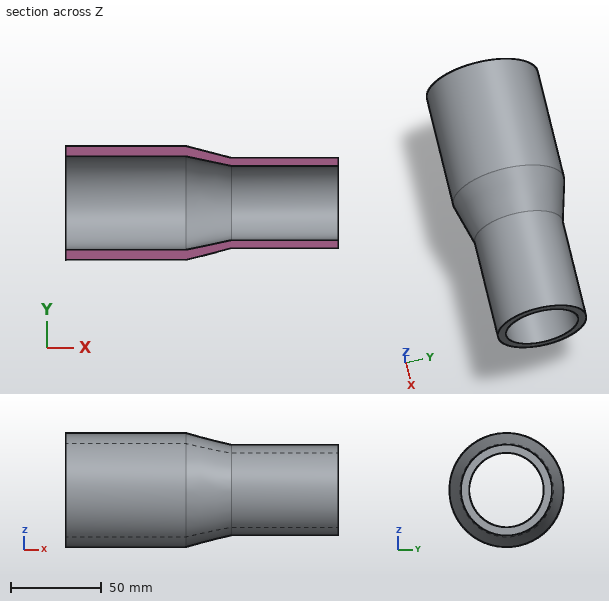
import cadquery as cq

total_length = 150.0
large_diameter = 63.0
large_wall = 5.8
large_length = 66.0
small_diameter = 50.0
small_wall = 4.6
small_length = 59.0

large_radius = large_diameter / 2
small_radius = small_diameter / 2
taper_end = total_length - small_length


def stepped_body(large_end_radius, small_end_radius):
    """Solid of revolution about X: cylinder, cone, cylinder."""
    return (
        cq.Workplane("XY")
        .moveTo(0, 0)
        .lineTo(0, large_end_radius)
        .lineTo(large_length, large_end_radius)
        .lineTo(taper_end, small_end_radius)
        .lineTo(total_length, small_end_radius)
        .lineTo(total_length, 0)
        .close()
        .revolve(360, (0, 0, 0), (1, 0, 0))
    )


outside = stepped_body(large_radius, small_radius)
bore = stepped_body(large_radius - large_wall, small_radius - small_wall)

result = outside.cut(bore)